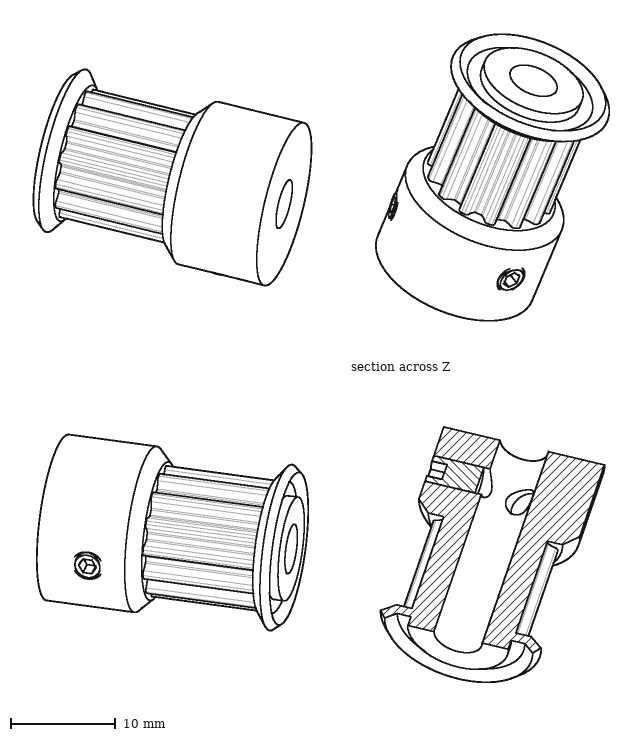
import cadquery as cq
import math

outer_radius = 8.0
bore_radius = 4.76 / 2
length = 23.0

boss_radius = 5.0
boss_protrusion = 0.22
flange_peak_x = 1.0
flange_back_x = 2.05
flange_face_radius = 7.35
dish_floor_radius = 6.33
dish_floor_x = 1.05

hub_x = 13.0
hub_chamfer = 1.33
chamfer_end_radius = outer_radius - hub_chamfer

tooth_count = 14
tooth_pitch = 3.0
pitch_line_offset = 0.38
tip_radius = tooth_count * tooth_pitch / (2 * math.pi) - pitch_line_offset
groove_depth = 1.125
root_radius = tip_radius - groove_depth
root_half_angle = math.radians(2.9)
groove_half_angle = math.radians(11.35)
fillet_radius = 0.2
flank_start_slope = math.radians(49.65)
flank_end_slope = math.radians(70.1)
tip_round_radius = 0.355
groove_turn = -0.55
tooth_pitch_angle = 360 / tooth_count

screw_radius = 1.5
screw_length = 5.0
screw_end_radius = 2.46 / 2
screw_chamfer_angle = math.radians(30)
screw_chamfer_length = (screw_radius - screw_end_radius) * math.tan(screw_chamfer_angle)
socket_across_flats = 1.5
socket_sides = 6
socket_corner_diameter = socket_across_flats / math.cos(math.pi / socket_sides)
socket_depth = 1.5
screw_x = (hub_x + length) / 2
screw_turns = [0, 120]


def polar(radius, angle):
    """Point at a radius, with its angle measured from the groove's centre line."""
    return cq.Vector(radius * math.sin(angle), radius * math.cos(angle))


def mirrored(point):
    return cq.Vector(-point.x, point.y)


def slope_direction(slope):
    return cq.Vector(math.cos(slope), math.sin(slope))


def groove_side():
    """Root fillet, concave flank and tip rounding of the groove's +X side, in the groove's own plane."""
    root_end = polar(root_radius, root_half_angle)
    fillet_center = polar(root_radius + fillet_radius, root_half_angle)
    fillet_end = fillet_center + polar(fillet_radius, math.pi - flank_start_slope)
    fillet = cq.Edge.makeTangentArc(root_end, slope_direction(-root_half_angle), fillet_end)

    tip_center = polar(tip_radius - tip_round_radius, groove_half_angle)
    flank_end = tip_center + polar(tip_round_radius, -flank_end_slope)
    tip_middle = tip_center + polar(tip_round_radius, (groove_half_angle - flank_end_slope) / 2)
    land_start = polar(tip_radius, groove_half_angle)
    flank = cq.Edge.makeTangentArc(fillet_end, slope_direction(flank_start_slope), flank_end)
    tip_round = cq.Edge.makeThreePointArc(flank_end, tip_middle, land_start)
    return [fillet, flank, tip_round]


def groove_cutter():
    """One belt groove, running along the toothed section at the +Y side."""
    root_end = polar(root_radius, root_half_angle)
    land_start = polar(tip_radius, groove_half_angle)
    root = cq.Edge.makeThreePointArc(mirrored(root_end), polar(root_radius, 0), root_end)
    opening = cq.Edge.makeThreePointArc(mirrored(land_start), polar(outer_radius, 0), land_start)
    right_side = groove_side()
    left_side = [edge.mirror("YZ") for edge in right_side]
    outline = cq.Wire.assembleEdges([root, *right_side, opening, *reversed(left_side)])
    cutter = cq.Solid.extrudeLinear(outline, [], cq.Vector(0, 0, hub_x - flange_back_x))
    along_x = cutter.rotate(cq.Vector(0, 0, 0), cq.Vector(0, 1, 0), 90)
    return along_x.translate(cq.Vector(flange_back_x, 0, 0))


def radial_placement(turn):
    """Plane on the hub surface, facing outward; turn 0 is at +Y."""
    angle = math.radians(turn)
    outward = cq.Vector(0, math.cos(angle), -math.sin(angle))
    origin = outward * outer_radius + cq.Vector(screw_x, 0, 0)
    return cq.Plane(origin=origin, xDir=(1, 0, 0), normal=outward)


def screw_blank(turn, blank_length):
    """Screw body without its socket, with the outer end chamfered."""
    outer_end = radial_placement(turn)
    half_section = [
        (0, 0),
        (screw_end_radius, 0),
        (screw_radius, -screw_chamfer_length),
        (screw_radius, -blank_length),
        (0, -blank_length),
    ]
    section_plane = cq.Plane(origin=outer_end.origin, xDir=outer_end.xDir, normal=-outer_end.yDir)
    return cq.Workplane(section_plane).polyline(half_section).close().revolve(360, (0, 0, 0), (0, 1, 0))


def make_pulley():
    half_section = [
        (0, bore_radius),
        (0, boss_radius),
        (dish_floor_x, boss_radius),
        (dish_floor_x, dish_floor_radius),
        (boss_protrusion, flange_face_radius),
        (flange_peak_x, outer_radius),
        (flange_back_x, chamfer_end_radius),
        (flange_back_x, tip_radius),
        (hub_x, tip_radius),
        (hub_x, chamfer_end_radius),
        (hub_x + hub_chamfer, outer_radius),
        (length, outer_radius),
        (length, bore_radius),
    ]
    pulley = cq.Workplane("XY").polyline(half_section).close().revolve(360, (0, 0, 0), (1, 0, 0))
    groove = groove_cutter()
    for index in range(tooth_count):
        turn = groove_turn + index * tooth_pitch_angle
        turned_groove = groove.rotate(cq.Vector(0, 0, 0), cq.Vector(1, 0, 0), turn)
        pulley = pulley.cut(cq.Workplane(turned_groove))
    for turn in screw_turns:
        pulley = pulley.cut(screw_blank(turn, outer_radius))
    return pulley


def make_set_screw(turn):
    outer_end = cq.Workplane(radial_placement(turn))
    socket = outer_end.polygon(socket_sides, socket_corner_diameter).extrude(-socket_depth)
    return screw_blank(turn, screw_length).cut(socket)


pulley = make_pulley()
set_screws = [make_set_screw(turn) for turn in screw_turns]

screw_solids = [screw.solids().val() for screw in set_screws]
result = cq.Compound.makeCompound([pulley.solids().val(), *screw_solids])